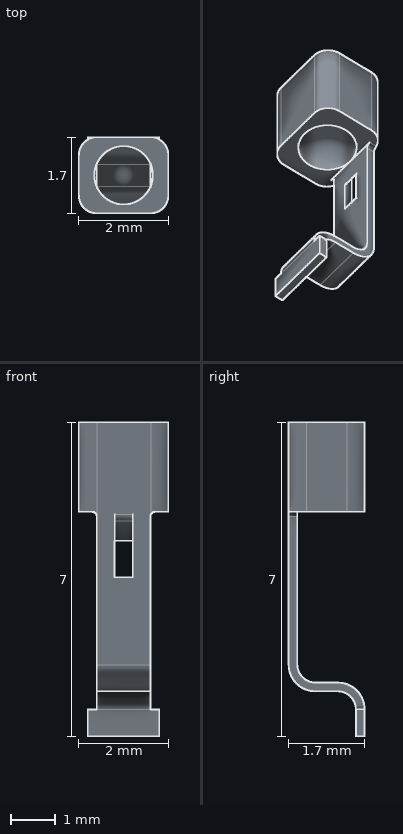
import cadquery as cq
import math

total_height = 7.0

socket_width = 2.0
socket_depth = 1.7
socket_height = 2.0
socket_corner_radius = 0.4
bore_diameter = 1.3

thickness = 0.2
strip_width = 1.2
bend_inner_radius = 0.4
neck_fillet = 0.1

foot_width = 1.6
foot_height = 0.6

window_width = 0.4
window_bottom = 3.55
window_top = 4.95
lip_radius = 0.4
lip_angle = math.radians(21)

front_y = -socket_depth / 2
back_y = socket_depth / 2
strip_back_y = front_y + thickness
foot_front_y = back_y - thickness
socket_bottom = total_height - socket_height
bend_outer_radius = bend_inner_radius + thickness
lower_bend_y = back_y - bend_outer_radius
lower_bend_z = foot_height
upper_bend_y = front_y + bend_outer_radius
shelf_top = lower_bend_z + bend_outer_radius
shelf_bottom = shelf_top - thickness
upper_bend_z = shelf_bottom + bend_outer_radius


def extrude_across(profile, width):
    """Extrude a closed YZ profile symmetrically about X = 0."""
    return profile.extrude(width / 2, both=True)


def arc_point(center_y, center_z, radius, angle):
    """Point on a circle in the YZ plane, angle in radians from +Y."""
    return (center_y + radius * math.cos(angle), center_z + radius * math.sin(angle))


def make_socket():
    """Rounded block with a round bore along Z."""
    return (
        cq.Workplane("XY", origin=(0, 0, socket_bottom))
        .rect(socket_width, socket_depth)
        .extrude(socket_height)
        .edges("|Z")
        .fillet(socket_corner_radius)
        .faces(">Z")
        .workplane()
        .hole(bore_diameter)
    )


def make_strip():
    """Strip of constant thickness with an S-bend from the socket down to the foot."""
    lower_mid = math.radians(45)
    upper_mid = math.radians(225)
    profile = (
        cq.Workplane("YZ")
        .moveTo(front_y, socket_bottom)
        .lineTo(front_y, upper_bend_z)
        .threePointArc(
            arc_point(upper_bend_y, upper_bend_z, bend_outer_radius, upper_mid),
            (upper_bend_y, shelf_bottom),
        )
        .lineTo(lower_bend_y, shelf_bottom)
        .threePointArc(
            arc_point(lower_bend_y, lower_bend_z, bend_inner_radius, lower_mid),
            (foot_front_y, lower_bend_z),
        )
        .lineTo(back_y, lower_bend_z)
        .threePointArc(
            arc_point(lower_bend_y, lower_bend_z, bend_outer_radius, lower_mid),
            (lower_bend_y, shelf_top),
        )
        .lineTo(upper_bend_y, shelf_top)
        .threePointArc(
            arc_point(upper_bend_y, upper_bend_z, bend_inner_radius, upper_mid),
            (strip_back_y, upper_bend_z),
        )
        .lineTo(strip_back_y, socket_bottom)
        .close()
    )
    return extrude_across(profile, strip_width)


def make_foot():
    """Flat bar, wider than the strip, under the lower bend."""
    profile = (
        cq.Workplane("YZ")
        .moveTo(foot_front_y, 0)
        .lineTo(back_y, 0)
        .lineTo(back_y, foot_height)
        .lineTo(foot_front_y, foot_height)
        .close()
    )
    return extrude_across(profile, foot_width)


def make_neck_fillets():
    """Concave fillets where both strip edges meet the socket underside."""
    edge_x = strip_width / 2
    center_x = edge_x + neck_fillet
    center_z = socket_bottom - neck_fillet
    arc_offset = neck_fillet * math.sin(math.radians(45))
    fillet = (
        cq.Workplane("XZ", origin=(0, strip_back_y, 0))
        .moveTo(edge_x, socket_bottom)
        .lineTo(edge_x, center_z)
        .threePointArc(
            (center_x - arc_offset, center_z + arc_offset),
            (center_x, socket_bottom),
        )
        .close()
        .extrude(thickness)
    )
    outline = (
        cq.Workplane("XY", origin=(0, 0, center_z))
        .rect(socket_width, socket_depth)
        .extrude(neck_fillet)
        .edges("|Z")
        .fillet(socket_corner_radius)
    )
    fillet = fillet.intersect(outline)
    return fillet.union(fillet.mirror("YZ"))


def make_window():
    """Opening through the strip whose upper edge curves, then slopes, to the back face."""
    lip_center_y = front_y + lip_radius
    lip_mid = arc_point(lip_center_y, window_top, lip_radius, math.pi + lip_angle / 2)
    lip_end = arc_point(lip_center_y, window_top, lip_radius, math.pi + lip_angle)
    slope_bottom = lip_end[1] - (strip_back_y - lip_end[0]) / math.tan(lip_angle)
    profile = (
        cq.Workplane("YZ")
        .moveTo(front_y, window_bottom)
        .lineTo(front_y, window_top)
        .threePointArc(lip_mid, lip_end)
        .lineTo(strip_back_y, slope_bottom)
        .lineTo(strip_back_y, window_bottom)
        .close()
    )
    return extrude_across(profile, window_width)


result = (
    make_socket()
    .union(make_strip())
    .union(make_neck_fillets())
    .union(make_foot())
    .cut(make_window())
)